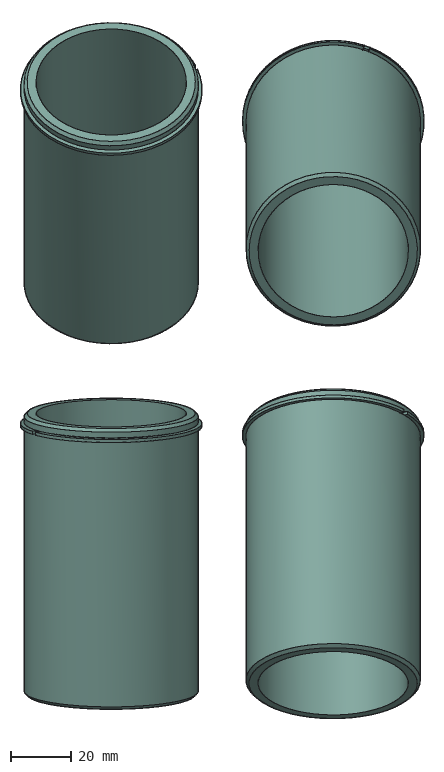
import cadquery as cq

LENGTH = 95.0
SLEEVE_DIAMETER = 58.0
BORE_DIAMETER = 50.0
END_CHAMFER = 1.0

GROOVE_TOP_DEPTH = 3.0
GROOVE_WIDTH = 1.3
GROOVE_DEPTH = 1.0
RING_DIAMETER = 60.4
RING_THICKNESS = 1.0
RING_GAP = 2.0

sleeve_radius = SLEEVE_DIAMETER / 2
ring_radius = RING_DIAMETER / 2
groove_floor_radius = sleeve_radius - GROOVE_DEPTH
top_z = LENGTH / 2
groove_bottom_z = top_z - GROOVE_TOP_DEPTH - GROOVE_WIDTH


def annulus(outer_radius, inner_radius, bottom_z, height):
    """Flat-ended tube around the Z axis."""
    return (
        cq.Workplane("XY")
        .workplane(offset=bottom_z)
        .circle(outer_radius)
        .circle(inner_radius)
        .extrude(height)
    )


def make_sleeve():
    """Tube with chamfered outer ends and an external groove for the ring."""
    bottom_end = cq.Workplane("XY").workplane(offset=-top_z)
    body = bottom_end.circle(sleeve_radius).extrude(LENGTH)
    body = body.faces("<Z or >Z").chamfer(END_CHAMFER)
    bore = bottom_end.circle(BORE_DIAMETER / 2).extrude(LENGTH)
    groove = annulus(ring_radius, groove_floor_radius, groove_bottom_z, GROOVE_WIDTH)
    return body.cut(bore).cut(groove)


def make_snap_ring():
    """Split ring resting on the groove floor and its lower side."""
    ring = annulus(ring_radius, groove_floor_radius, groove_bottom_z, RING_THICKNESS)
    gap = (
        cq.Workplane("XY")
        .workplane(offset=groove_bottom_z)
        .center(0, ring_radius / 2)
        .rect(RING_GAP, ring_radius)
        .extrude(RING_THICKNESS)
    )
    return ring.cut(gap)


sleeve = make_sleeve()
snap_ring = make_snap_ring()

result = cq.Compound.makeCompound([sleeve.val(), snap_ring.val()])